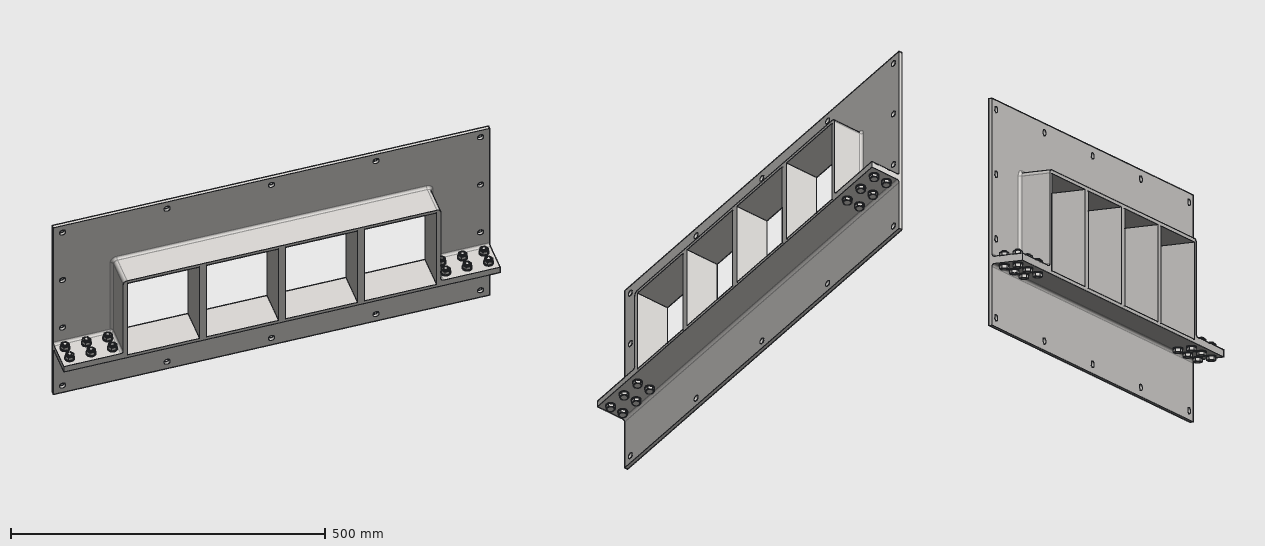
import cadquery as cq
import math

length = 730.0
height = 371.5
depth = 60.0
sheet = 6.0
root_radius = 4.5

hole_dia = 10.0
hole_inset = 15.0
hole_columns = 5
side_hole_pitch = 106.0

floor_z = 106.5
frame_top = 271.5
frame_half_width = 266.0
frame_corner_radius = 6.5
window_count = 4
window_width = 120.5
mullion = 12.0

bolt_x = (20.5, 44.5)
bolt_inset = 14.5
bolt_pitch_y = 36.0
bolts_per_row = 3
washer_dia = 16.0
washer_thick = 1.6
hex_sides = 6
hex_across_flats = 13.0
hex_chamfer_dia = 12.0
nut_height = 6.5
head_height = 6.0
shank_dia = 8.0
shank_tip_dia = 6.65
shank_protrusion = 2.0

flange_bottom = floor_z - sheet
shelf_top = floor_z + sheet
window_height = frame_top - sheet - floor_z
window_pitch = window_width + mullion
hex_half_angle = 180 / hex_sides
hex_across_corners = hex_across_flats / math.cos(math.radians(hex_half_angle))
hole_y = length / 2 - hole_inset
outer_bolt_y = length / 2 - bolt_inset
tolerance = 0.1


def block(x0, x1, y0, y1, z0, z1):
    """Box between two opposite corners."""
    return cq.Workplane("XY").box(x1 - x0, y1 - y0, z1 - z0, centered=False).translate((x0, y0, z0))


def make_frame_block():
    """Solid outer form of the frame, with its two top corners rounded."""
    frame = block(0, depth, -frame_half_width, frame_half_width, flange_bottom, frame_top)
    return frame.faces(">Z").edges("|X").fillet(frame_corner_radius)


def make_body():
    """Plate, flanges and frame, joined with root fillets at the inner corners."""
    half = length / 2
    plate = block(0, sheet, -half, half, 0, height)
    flange = block(0, depth, -half, half, flange_bottom, floor_z)
    body = plate.union(flange).union(make_frame_block())
    for y0, y1 in ((-half, -frame_half_width), (frame_half_width, half)):
        body = body.union(block(0, depth, y0, y1, floor_z, shelf_top))
    body = body.clean()

    roots = cq.selectors.BoxSelector(
        (sheet - tolerance, -half + tolerance, tolerance),
        (sheet + tolerance, half - tolerance, height - tolerance),
    )
    for side in (-frame_half_width, frame_half_width):
        roots = roots + cq.selectors.BoxSelector(
            (sheet + tolerance, side - tolerance, shelf_top - tolerance),
            (depth - tolerance, side + tolerance, shelf_top + tolerance),
        )
    return body.edges(roots).fillet(root_radius)


def cut_windows(body):
    """Row of equal openings through the frame, separated by mullions."""
    for i in range(window_count):
        y0 = (i - (window_count - 1) / 2) * window_pitch - window_width / 2
        body = body.cut(block(0, depth, y0, y0 + window_width, floor_z, floor_z + window_height))
    return body


def cut_plate_holes(body):
    """Fixing holes around the plate edge."""
    top_z = height - hole_inset
    column_pitch = 2 * hole_y / (hole_columns - 1)
    points = []
    for i in range(hole_columns):
        y = -hole_y + i * column_pitch
        points += [(y, hole_inset), (y, top_z)]
    for y in (-hole_y, hole_y):
        points += [(y, top_z - side_hole_pitch), (y, top_z - 2 * side_hole_pitch)]
    drills = cq.Workplane("YZ").pushPoints(points).circle(hole_dia / 2).extrude(sheet)
    return body.cut(drills)


def hexagon(thickness):
    """Hexagon standing on Z = 0, corners toward +Y and -Y, upper corners chamfered."""
    prism = cq.Workplane("XY").polygon(hex_sides, hex_across_corners).extrude(thickness)
    prism = prism.rotate((0, 0, 0), (0, 0, 1), hex_half_angle)
    rise = (hex_across_corners - hex_chamfer_dia) / 4
    radius = hex_across_corners / 2
    envelope = (
        cq.Workplane("XZ")
        .polyline([
            (0, 0),
            (radius, 0),
            (radius, thickness - rise),
            (hex_chamfer_dia / 2, thickness),
            (0, thickness),
        ])
        .close()
        .revolve(360, (0, 0, 0), (0, 1, 0))
    )
    return prism.intersect(envelope)


def make_bolt():
    """Bolt on the Z axis: nut and washer above the shelf, head and washer below the flange."""
    washer = cq.Workplane("XY").circle(washer_dia / 2).extrude(washer_thick)
    upper_washer = washer.translate((0, 0, shelf_top))
    lower_washer = washer.translate((0, 0, flange_bottom - washer_thick))
    nut = hexagon(nut_height).translate((0, 0, shelf_top + washer_thick))
    head = hexagon(head_height).rotate((0, 0, 0), (1, 0, 0), 180)
    head = head.translate((0, 0, flange_bottom - washer_thick))
    shank_length = sheet + washer_thick + nut_height + shank_protrusion
    shank = cq.Workplane("XY").circle(shank_dia / 2).extrude(shank_length)
    shank = shank.faces(">Z").chamfer((shank_dia - shank_tip_dia) / 2).translate((0, 0, floor_z))
    return upper_washer.union(lower_washer).union(nut).union(head).union(shank)


def add_bolts(body):
    """Two rows of bolts at each end of the flanges."""
    bolt = make_bolt()
    for end in (-1, 1):
        for i in range(bolts_per_row):
            y = end * (outer_bolt_y - i * bolt_pitch_y)
            for x in bolt_x:
                body = body.union(bolt.translate((x, y, 0)))
    return body


result = add_bolts(cut_plate_holes(cut_windows(make_body())))